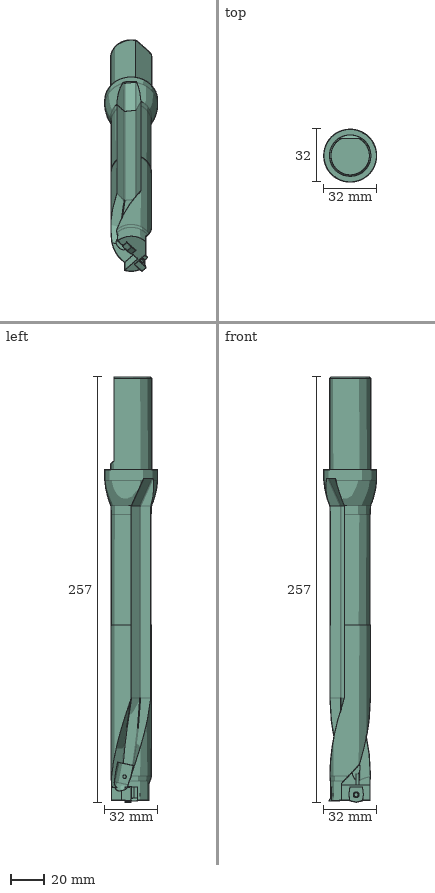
import cadquery as cq
import math

TOTAL_LENGTH = 257.0

SHANK_DIAMETER = 24.99
SHANK_LENGTH = 56.0
SHANK_CHAMFER = 0.9
FLAT_DISTANCE = 10.5
FLAT_CLEARANCE = 3.5
FLAT_RAMP_HEIGHT = 1.7

COLLAR_DIAMETER = 32.0
COLLAR_HEIGHT = 6.6
FLARE_HEIGHT = 15.2
FLARE_BULGE = 0.65

NECK_DIAMETER = 24.7
NECK_HEIGHT = 5.4
STEM_DIAMETER = 24.2
GUIDE_TOP = 107.0
GUIDE_DIAMETER = 24.6
HEAD_TAPER_TOP = 15.9
HEAD_TOP = 12.8
HEAD_DIAMETER = 24.0
HEAD_BOTTOM = 1.2

FLUTE_COUNT = 2
FLUTE_CLEAR = 30.0
FLUTE_WALL_END = (-5.7, 0.0)
FLUTE_FLOOR_END = (-1.4, -5.4)
FLUTE_FILLET = 0.6
FLUTE_EDGE = (-3.5, -11.7)
STRAIGHT_FLUTE_TOP = 179.0
HELIX_TOP = 63.0
HELIX_BOTTOM = 9.0
HELIX_TWIST = 85.0
RUNOUT_HEIGHT = 16.5
RUNOUT_SLOPE = 0.45

SCOOP_RADIUS = 5.0
SCOOP_CENTRE = (-4.0, 5.8, 11.5)
SCOOP_TILT = 12.0
SCOOP_LENGTH = 12.0
COOLANT_DIAMETER = 2.04
COOLANT_HEIGHT = 15.5
COOLANT_DEPTH = 6.0
COOLANT_OFFSET = 4.0

SEAT_RELIEF = 0.3
CENTRAL_POCKET_LEFT = -5.2
CENTRAL_POCKET_SIDE = 11.5
CENTRAL_POCKET_TOP = 24.0
CENTRAL_POCKET_SLOPE = 0.95
SEAT_TOP = 10.5
SEAT_STEP = 0.6
GROOVE_X = 4.4
GROOVE_WIDTH = 1.7
GROOVE_DEPTH = 0.8
OUTER_POCKET_TOP = 9.5
OUTER_POCKET_WALL = -6.5
OUTER_POCKET_STEP = 6.0
OUTER_POCKET_SLANT = (6.0, 6.0)

INSERT_THICKNESS = 3.7
INSERT_HOLE = 2.95
INSERT_COUNTERBORE = 3.45
COUNTERBORE_DEPTH = 1.2
SCREW_HOLE = 2.5
SCREW_HOLE_DEPTH = 1.5
CENTRAL_INSERT_CENTRE = (3.6, 4.6)
CENTRAL_INSERT_HALF_WIDTH = 3.8
CENTRAL_INSERT_BULGE = 0.6
INSERT_TOP = 9.2
INSERT_CORNER = 0.9
OUTER_INSERT_TIP = (-12.9, 0.7)
OUTER_INSERT_SIDE = -11.9
OUTER_INSERT_INNER = OUTER_POCKET_WALL
OUTER_INSERT_RELIEF_TOP = 2.6

SHANK_BOTTOM = TOTAL_LENGTH - SHANK_LENGTH
COLLAR_BOTTOM = SHANK_BOTTOM - COLLAR_HEIGHT
FLARE_BOTTOM = COLLAR_BOTTOM - FLARE_HEIGHT
NECK_BOTTOM = FLARE_BOTTOM - NECK_HEIGHT


def turned_blank():
    """Shank, collar, flare, stem and head as one turned shape."""
    shank_radius = SHANK_DIAMETER / 2
    collar_radius = COLLAR_DIAMETER / 2
    neck_radius = NECK_DIAMETER / 2
    stem_radius = STEM_DIAMETER / 2
    guide_radius = GUIDE_DIAMETER / 2
    head_radius = HEAD_DIAMETER / 2
    flare_middle = (
        (collar_radius + neck_radius) / 2 + FLARE_BULGE,
        (COLLAR_BOTTOM + FLARE_BOTTOM) / 2,
    )
    return (
        cq.Workplane("XZ")
        .moveTo(0, TOTAL_LENGTH)
        .lineTo(shank_radius - SHANK_CHAMFER, TOTAL_LENGTH)
        .lineTo(shank_radius, TOTAL_LENGTH - SHANK_CHAMFER)
        .lineTo(shank_radius, SHANK_BOTTOM)
        .lineTo(collar_radius, SHANK_BOTTOM)
        .lineTo(collar_radius, COLLAR_BOTTOM)
        .threePointArc(flare_middle, (neck_radius, FLARE_BOTTOM))
        .lineTo(stem_radius, NECK_BOTTOM)
        .lineTo(stem_radius, GUIDE_TOP)
        .lineTo(guide_radius, GUIDE_TOP)
        .lineTo(guide_radius, HEAD_TAPER_TOP)
        .lineTo(head_radius, HEAD_TOP)
        .lineTo(head_radius, HEAD_BOTTOM)
        .lineTo(0, HEAD_BOTTOM)
        .close()
        .revolve(360, (0, 0), (0, 1))
    )


def shank_flat():
    """Material removed for the clamping flat, with a ramp at its foot."""
    ramp_foot = SHANK_BOTTOM + FLAT_CLEARANCE
    ramp_run = SHANK_DIAMETER / 2 - FLAT_DISTANCE
    return (
        cq.Workplane("YZ")
        .moveTo(FLAT_DISTANCE + ramp_run, ramp_foot)
        .lineTo(FLAT_DISTANCE, ramp_foot + FLAT_RAMP_HEIGHT)
        .lineTo(FLAT_DISTANCE, TOTAL_LENGTH)
        .lineTo(SHANK_DIAMETER, TOTAL_LENGTH)
        .lineTo(SHANK_DIAMETER, ramp_foot)
        .close()
        .extrude(SHANK_DIAMETER, both=True)
    )


def flute_section(level):
    """Cross-section of one flute, opening towards -X and -Y."""
    edge_angle = math.atan2(FLUTE_EDGE[1] - FLUTE_FLOOR_END[1], FLUTE_EDGE[0] - FLUTE_FLOOR_END[0])
    far_edge = (
        FLUTE_FLOOR_END[0] + FLUTE_CLEAR * math.cos(edge_angle),
        FLUTE_FLOOR_END[1] + FLUTE_CLEAR * math.sin(edge_angle),
    )
    corners = [
        (-FLUTE_CLEAR, FLUTE_WALL_END[1]),
        FLUTE_WALL_END,
        FLUTE_FLOOR_END,
        far_edge,
        (-FLUTE_CLEAR, far_edge[1]),
    ]
    wire = cq.Wire.makePolygon([cq.Vector(x, y, level) for x, y in corners], close=True)
    floor_corners = [
        vertex for vertex in wire.Vertices()
        if math.hypot(vertex.X, vertex.Y) < STEM_DIAMETER / 2
    ]
    return wire.fillet2D(FLUTE_FILLET, floor_corners)


def flute():
    """One flute: sloping run-out at the top, a straight stretch, then a helix to the head."""
    straight_height = STRAIGHT_FLUTE_TOP - HELIX_TOP
    straight = cq.Solid.extrudeLinear(flute_section(HELIX_TOP), [], cq.Vector(0, 0, straight_height))
    outward = -RUNOUT_SLOPE * RUNOUT_HEIGHT
    runout_path = cq.Vector(outward, outward, RUNOUT_HEIGHT)
    runout = cq.Solid.extrudeLinear(flute_section(STRAIGHT_FLUTE_TOP), [], runout_path)
    helix = cq.Solid.extrudeLinearWithRotation(
        flute_section(HELIX_TOP), [], cq.Vector(), cq.Vector(0, 0, HELIX_BOTTOM - HELIX_TOP), HELIX_TWIST
    )
    return [straight, runout, helix]


def scoop():
    """Ball-ended hollow at the foot of a flute."""
    shaft = cq.Workplane("XY").circle(SCOOP_RADIUS).extrude(SCOOP_LENGTH)
    ball = cq.Workplane("XY").sphere(SCOOP_RADIUS)
    return (
        shaft.union(ball)
        .rotate((0, 0, 0), (1, 0, 0), SCOOP_TILT)
        .translate(SCOOP_CENTRE)
    )


def coolant_hole():
    """Coolant outlet running from the scoop towards the drill axis."""
    return (
        cq.Workplane("YZ", origin=(SCOOP_CENTRE[0], 0, 0))
        .center(COOLANT_OFFSET, COOLANT_HEIGHT)
        .circle(COOLANT_DIAMETER / 2)
        .extrude(COOLANT_DEPTH)
    )


def central_pocket():
    """Open space in front of the central insert, with its stepped seat and a narrow groove above it."""
    slope_run = CENTRAL_POCKET_SLOPE * (CENTRAL_POCKET_TOP - CENTRAL_POCKET_SIDE)
    upper_face = SEAT_RELIEF - SEAT_STEP
    open_space = (
        cq.Workplane("XZ", origin=(0, upper_face, 0))
        .moveTo(CENTRAL_POCKET_LEFT, 0)
        .lineTo(CENTRAL_POCKET_LEFT, CENTRAL_POCKET_SIDE)
        .lineTo(CENTRAL_POCKET_LEFT + slope_run, CENTRAL_POCKET_TOP)
        .lineTo(COLLAR_DIAMETER, CENTRAL_POCKET_TOP)
        .lineTo(COLLAR_DIAMETER, 0)
        .close()
        .extrude(COLLAR_DIAMETER)
    )
    seat = cq.Workplane("XY").box(
        COLLAR_DIAMETER, SEAT_STEP, SEAT_TOP, centered=False
    ).translate((CENTRAL_POCKET_LEFT, upper_face, 0))
    groove = cq.Workplane("XY").box(
        GROOVE_WIDTH, GROOVE_DEPTH, CENTRAL_POCKET_TOP - SEAT_TOP, centered=False
    ).translate((GROOVE_X - GROOVE_WIDTH / 2, upper_face, SEAT_TOP))
    return open_space.union(seat).union(groove)


def outer_pocket():
    """Open space in front of the outer insert, with a slanted rear wall."""
    slant_end = (
        OUTER_POCKET_WALL + OUTER_POCKET_SLANT[0],
        OUTER_POCKET_STEP + OUTER_POCKET_SLANT[1],
    )
    return (
        cq.Workplane("XY")
        .moveTo(-COLLAR_DIAMETER, -SEAT_RELIEF)
        .lineTo(OUTER_POCKET_WALL, -SEAT_RELIEF)
        .lineTo(OUTER_POCKET_WALL, OUTER_POCKET_STEP)
        .lineTo(*slant_end)
        .lineTo(slant_end[0], COLLAR_DIAMETER)
        .lineTo(-COLLAR_DIAMETER, COLLAR_DIAMETER)
        .close()
        .extrude(OUTER_POCKET_TOP)
    )


def insert_plate(outline, direction):
    """Plate with its rake face at Y = 0, its thickness running along +Y or -Y."""
    return cq.Workplane("XZ").polyline(outline).close().extrude(-direction * INSERT_THICKNESS)


def insert_hole(centre, diameter, start, depth, direction):
    """Round hole along Y, from `start` behind the rake face."""
    plane = cq.Workplane("XZ", origin=(0, direction * start, 0))
    return plane.center(*centre).circle(diameter / 2).extrude(-direction * depth)


def drilled_insert(plate, centre, direction):
    """Insert with a counterbored screw hole."""
    through = insert_hole(centre, INSERT_HOLE, 0, INSERT_THICKNESS, direction)
    counterbore = insert_hole(centre, INSERT_COUNTERBORE, 0, COUNTERBORE_DEPTH, direction)
    return plate.cut(through).cut(counterbore)


TOWARDS_BACK = 1
TOWARDS_FRONT = -1

central_x, central_z = CENTRAL_INSERT_CENTRE
central_left = central_x - CENTRAL_INSERT_HALF_WIDTH
central_right = central_x + CENTRAL_INSERT_HALF_WIDTH
central_plate = insert_plate(
    [
        (central_x, 0),
        (central_right, INSERT_CORNER),
        (central_right + CENTRAL_INSERT_BULGE, central_z),
        (central_right, INSERT_TOP),
        (central_left, INSERT_TOP),
        (central_left - CENTRAL_INSERT_BULGE, central_z),
        (central_left, INSERT_CORNER),
    ],
    TOWARDS_BACK,
)
central_insert = drilled_insert(central_plate, CENTRAL_INSERT_CENTRE, TOWARDS_BACK)

outer_plate = insert_plate(
    [
        OUTER_INSERT_TIP,
        (OUTER_INSERT_SIDE, OUTER_INSERT_RELIEF_TOP),
        (OUTER_INSERT_SIDE, INSERT_TOP),
        (OUTER_INSERT_INNER, INSERT_TOP),
        (OUTER_INSERT_INNER, INSERT_CORNER),
    ],
    TOWARDS_FRONT,
)
outer_centre = ((OUTER_INSERT_SIDE + OUTER_INSERT_INNER) / 2, central_z)
outer_insert = drilled_insert(outer_plate, outer_centre, TOWARDS_FRONT)

drill_body = turned_blank().cut(shank_flat())
for index in range(FLUTE_COUNT):
    turn = index * 360 / FLUTE_COUNT
    for cutter in flute() + [scoop().val(), coolant_hole().val()]:
        drill_body = drill_body.cut(cq.Workplane(cutter.rotate((0, 0, 0), (0, 0, 1), turn)))
drill_body = drill_body.cut(central_pocket()).cut(outer_pocket())
for plate, centre, direction in (
    (central_plate, CENTRAL_INSERT_CENTRE, TOWARDS_BACK),
    (outer_plate, outer_centre, TOWARDS_FRONT),
):
    screw_hole = insert_hole(centre, SCREW_HOLE, INSERT_THICKNESS, SCREW_HOLE_DEPTH, direction)
    drill_body = drill_body.cut(plate).cut(screw_hole)

result = cq.Compound.makeCompound([*drill_body.vals(), *central_insert.vals(), *outer_insert.vals()])